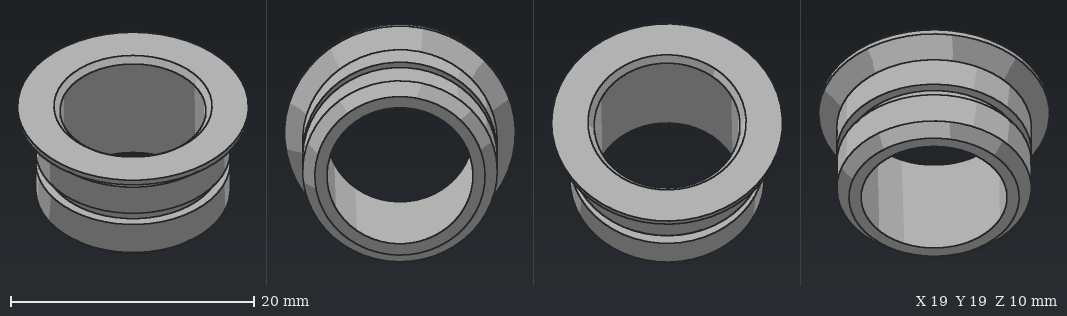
import cadquery as cq

height = 10.0
body_diameter = 16.0
bore_diameter = 12.0
lead_in_chamfer = 1.0
bore_chamfer = 0.5

flange_diameter = 19.0
rim_thickness = 0.5
cone_height = (flange_diameter - body_diameter) / 2

groove_diameter = 14.5
groove_width = 1.2
groove_bottom = 4.0

body_radius = body_diameter / 2
bore_radius = bore_diameter / 2
flange_radius = flange_diameter / 2
groove_radius = groove_diameter / 2
groove_top = groove_bottom + groove_width
rim_bottom = height - rim_thickness
cone_bottom = rim_bottom - cone_height


def make_bushing():
    """Revolve the half section (radius, height) about the Z axis."""
    section = [
        (bore_radius, 0),
        (body_radius - lead_in_chamfer, 0),
        (body_radius, lead_in_chamfer),
        (body_radius, groove_bottom),
        (groove_radius, groove_bottom),
        (groove_radius, groove_top),
        (body_radius, groove_top),
        (body_radius, cone_bottom),
        (flange_radius, rim_bottom),
        (flange_radius, height),
        (bore_radius + bore_chamfer, height),
        (bore_radius, height - bore_chamfer),
    ]
    profile = cq.Workplane("XZ").polyline(section).close()
    return profile.revolve(360, (0, 0, 0), (0, 1, 0))


result = make_bushing()